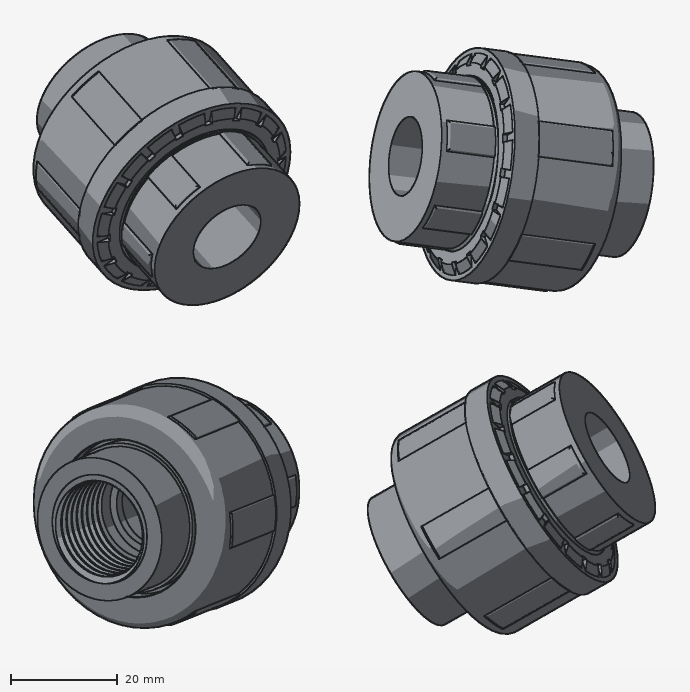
import cadquery as cq
import math


nut_start = 9.6
nut_tab_start = 12.0
nut_lip_end = 12.5
rim_start = 27.5
rim_end = 32.6
nut_end = 33.5
collar_start = 9.9
seal_plane = 20.0
shoulder_x = 34.0
union_length = 45.0

tail_diameter = 27.5
collar_diameter = 28.75
flange_diameter = 32.25
bore_diameter = 15.0
relief_diameter = 17.9
relief_end = 18.0

pipe_thread_root = 20.95
pipe_thread_crest = 18.65
pipe_thread_pitch = 1.815
pipe_thread_length = 15.0
pipe_thread_crest_width = 0.4

nut_diameter = 43.0
rim_diameter = 44.0
nut_hole_diameter = 30.25
nut_hole_mouth_diameter = 30.5
nut_edge_radius = 2.0
back_cone_large = 42.0
back_cone_small = 38.15
nut_tab_width = 6.98
nut_tab_diameter = 43.55
nut_tab_rounding = 0.35
slot_count = 18
slot_width = 1.58
slot_floor_radius = 18.65

end_diameter = 32.25
end_tab_width = 6.1
end_tab_diameter = 33.0
end_tab_end = 43.9
end_tab_rounding = 0.65

union_thread_root = 30.25
union_thread_crest = 33.25
union_thread_pitch = 2.3
union_thread_start = 22.0
union_thread_crest_width = 0.45
union_thread_phase_x = 33.9

tab_count = 6
flank_slope = math.tan(math.radians(30))


def cylinder(diameter, start, end):
    return cq.Workplane("YZ", origin=(start, 0, 0)).circle(diameter / 2).extrude(end - start)


def around_axis(shape, angle):
    return shape.rotate((0, 0, 0), (1, 0, 0), angle)


def grip_tab(start, end, width, diameter):
    """Raised tab on the -Y side, with its top on a cylinder around the axis."""
    tab = cq.Workplane("XY").box(end - start, diameter, width, centered=(False, False, True))
    return tab.translate((start, -diameter, 0)).intersect(cylinder(diameter, start, end))


def add_around_axis(base, tab):
    for index in range(tab_count):
        base = base.union(around_axis(tab, index * 360 / tab_count))
    return base


def helical_ridge(root_diameter, crest_diameter, pitch, crest_width, start, end, crest_x):
    """Right-handed thread ridge standing on the root cylinder, trimmed square at both ends.

    The middle of the crest passes the +Z side at X = crest_x.
    """
    root = root_diameter / 2
    crest = crest_diameter / 2
    half_crest = crest_width / 2
    half_root = half_crest + abs(crest - root) * flank_slope
    turns_before = math.ceil((crest_x - start) / pitch) + 1
    turns_after = math.ceil((end - crest_x) / pitch) + 1
    path = cq.Wire.makeHelix(pitch, (turns_before + turns_after) * pitch, root)
    profile = [(root, -half_root), (crest, -half_crest), (crest, half_crest), (root, half_root)]
    ridge = cq.Workplane("XZ").polyline(profile).close().sweep(path, isFrenet=True)
    ridge = around_axis(ridge.rotate((0, 0, 0), (0, 1, 0), 90), 180)
    ridge = ridge.translate((crest_x - turns_before * pitch, 0, 0))
    return cylinder(2 * max(root_diameter, crest_diameter), start, end).intersect(ridge)


def make_tailpiece():
    tail = cylinder(tail_diameter, 0, seal_plane)
    tail = tail.union(cylinder(collar_diameter, collar_start, seal_plane))
    tail = tail.union(cylinder(flange_diameter, nut_lip_end, seal_plane))
    tail = tail.cut(cylinder(pipe_thread_root, 0, pipe_thread_length))
    tail = tail.cut(cylinder(relief_diameter, pipe_thread_length, relief_end))
    return tail.cut(cylinder(bore_diameter, relief_end, seal_plane))


def make_pipe_thread():
    return helical_ridge(
        pipe_thread_root, pipe_thread_crest, pipe_thread_pitch, pipe_thread_crest_width,
        0, pipe_thread_length, 0,
    )


def make_nut():
    nut = cylinder(nut_diameter, nut_start, rim_start).faces("<X").edges().fillet(nut_edge_radius)
    nut = nut.union(cylinder(rim_diameter, rim_start, rim_end))
    tab = grip_tab(nut_tab_start, rim_start, nut_tab_width, nut_tab_diameter)
    tab = tab.faces("<Y").edges("|X or <X").fillet(nut_tab_rounding)
    nut = add_around_axis(nut, tab)
    nut = nut.union(make_slotted_back())
    nut = nut.cut(cylinder(nut_hole_diameter, nut_start, nut_lip_end))
    mouth_chamfer = (nut_hole_mouth_diameter - nut_hole_diameter) / 2
    nut = nut.faces("<X").edges("%CIRCLE").edges(cq.selectors.RadiusNthSelector(0)).chamfer(mouth_chamfer)
    return nut.cut(cylinder(union_thread_crest, nut_lip_end, nut_end))


def make_slotted_back():
    """Conical back of the nut with evenly spaced radial slots."""
    length = nut_end - rim_end
    back = (
        cq.Workplane("YZ", origin=(rim_end, 0, 0))
        .circle(back_cone_large / 2)
        .workplane(offset=length)
        .circle(back_cone_small / 2)
        .loft()
    )
    slot = cq.Workplane("XY").box(length, rim_diameter, slot_width, centered=(False, False, True))
    slot = slot.translate((rim_end, slot_floor_radius, 0))
    for index in range(slot_count):
        back = back.cut(around_axis(slot, 180 + index * 360 / slot_count))
    return back


def make_end_connector():
    connector = cylinder(union_thread_root, seal_plane, shoulder_x)
    connector = connector.union(cylinder(end_diameter, shoulder_x, union_length))
    tab = grip_tab(shoulder_x, end_tab_end, end_tab_width, end_tab_diameter)
    tab = tab.faces("<Y").edges("|X or >X").fillet(end_tab_rounding)
    connector = add_around_axis(connector, tab)
    return connector.cut(cylinder(bore_diameter, seal_plane, union_length))


def make_union_thread():
    return helical_ridge(
        union_thread_root, union_thread_crest, union_thread_pitch, union_thread_crest_width,
        union_thread_start, shoulder_x, union_thread_phase_x,
    )


tailpiece = make_tailpiece()
pipe_thread = make_pipe_thread()
nut = make_nut()
end_connector = make_end_connector()
union_thread = make_union_thread()

result = cq.Compound.makeCompound(
    [tailpiece.val(), pipe_thread.val(), nut.val(), end_connector.val(), union_thread.val()]
)